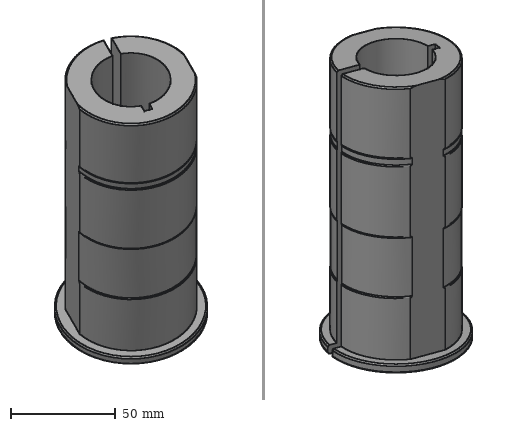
import cadquery as cq

total_length = 152.4
flange_diameter = 73.5
flange_thickness = 4.7625
body_diameter = 63.5
bore_diameter = 38.1
flat_offset = 30.25
edge_chamfer = 0.8

land_length = 38.1
narrow_groove_width = 4.7625
groove_depth = 0.27
groove_wall_length = 0.8
lower_land_top = 38.1

slot_width = 4.2
keyway_reach = 23.0

flange_radius = flange_diameter / 2
body_radius = body_diameter / 2
body_length = total_length - flange_thickness
narrow_groove_top = total_length - land_length
narrow_groove_bottom = narrow_groove_top - narrow_groove_width
wide_groove_top = narrow_groove_bottom - land_length


def make_flange():
    """Round flange at the bottom, chamfered on both rims."""
    disc = cq.Workplane("XY").circle(flange_radius).extrude(flange_thickness)
    return disc.edges("%CIRCLE").chamfer(edge_chamfer)


def groove_cutter(bottom, top):
    """Ring that cuts a shallow groove with sloped walls between two heights."""
    floor_radius = body_radius - groove_depth
    profile = (
        cq.Workplane("XZ")
        .moveTo(body_radius, bottom)
        .lineTo(floor_radius, bottom + groove_wall_length)
        .lineTo(floor_radius, top - groove_wall_length)
        .lineTo(body_radius, top)
        .lineTo(flange_radius, top)
        .lineTo(flange_radius, bottom)
        .close()
    )
    return profile.revolve(360, (0, 0, 0), (0, 1, 0))


def make_body():
    """Grooved cylinder with a chamfered top and two flats facing -Y and +Y."""
    body = (
        cq.Workplane("XY")
        .workplane(offset=flange_thickness)
        .circle(body_radius)
        .extrude(body_length)
        .faces(">Z")
        .chamfer(edge_chamfer)
    )
    body = body.cut(groove_cutter(narrow_groove_bottom, narrow_groove_top))
    body = body.cut(groove_cutter(lower_land_top, wide_groove_top))
    between_flats = cq.Workplane("XY").rect(body_diameter, 2 * flat_offset).extrude(total_length)
    return body.intersect(between_flats)


def radial_slot(start_x, end_x):
    """Full-height slot along X, centred on the XZ plane."""
    length = end_x - start_x
    slot = cq.Workplane("XY").box(length, slot_width, total_length, centered=(False, True, False))
    return slot.translate((start_x, 0, 0))


bore = cq.Workplane("XY").circle(bore_diameter / 2).extrude(total_length)
slit = radial_slot(-flange_radius, 0)
keyway = radial_slot(0, keyway_reach)

result = make_flange().union(make_body()).cut(bore).cut(slit).cut(keyway)